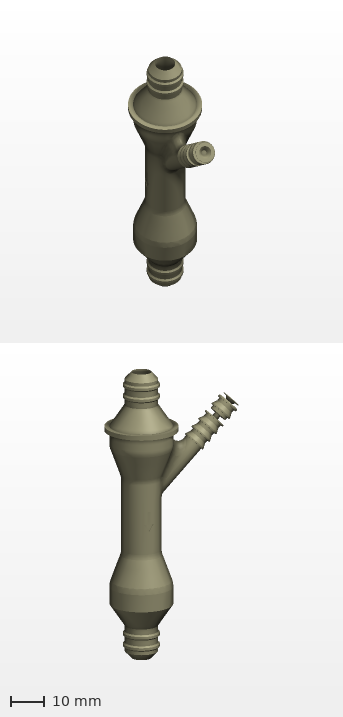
import cadquery as cq

length = 88.5
mid_height = length / 2
bore_radius = 6.0 / 2
neck_radius = 10.0 / 2
bead_radius = 11.0 / 2
tube_radius = 12.0 / 2
bulb_radius = 19.0 / 2

nose_end = 2.1
bead_starts = (3.2, 6.6)
bead_width = 1.7
bead_slope = 0.4
neck_end = 10.1
bulb_start = 16.7
bulb_end = 22.0
shoulder_end = 23.9
waist_start = 31.85
waist_end = 33.4
shoulder_radius = 9.2
waist_radius = 6.3
shoulder_bulge = 0.1
waist_bulge = 0.07

flange_radius = 22.0 / 2
flange_thickness = 1.4

arm_angle = 45.0
arm_root_height = 48.1
arm_radius = 6.0 / 2
crotch_fillet = 2.65

first_barb = 23.7
barb_pitch = 3.0
barb_radius = 7.0 / 2
barb_land = 0.4
barb_taper = 1.4
core_radius = 2.8
barbs_below_gap = 4
barbs_on_head = 2
gap_start = first_barb + (barbs_below_gap - 1) * barb_pitch + barb_land
gap_end = 34.7
stem_radius = 2.0 / 2
head_end = 39.45
tip_end = 40.7
tip_thickness = 0.2
tip_radius = 2.9
funnel_radius = 2.1
funnel_wall = 0.3

arrow_top = 46.6
arrow_shoulder = 42.7
arrow_tip = 40.4
shaft_half_width = 0.5
head_half_width = 1.5
arrow_depth = 0.2


def cylinder(radius, bottom, top):
    return cq.Workplane("XY").workplane(offset=bottom).circle(radius).extrude(top - bottom)


def cone(bottom_radius, top_radius, bottom, top):
    profile = [(0, bottom), (bottom_radius, bottom), (top_radius, top), (0, top)]
    return cq.Workplane("XZ").polyline(profile).close().revolve(360, (0, 0), (0, 1))


def arc_middle(start, end, bulge):
    """Middle point of a shallow arc, moved radially by the bulge."""
    return ((start[0] + end[0]) / 2 + bulge, (start[1] + end[1]) / 2)


def half_body():
    """Lower half of the body, from the nose to mid height."""
    outline = cq.Workplane("XZ").moveTo(0, 0).lineTo(bore_radius, 0).lineTo(neck_radius, nose_end)
    for start in bead_starts:
        end = start + bead_width
        outline = outline.lineTo(neck_radius, start).lineTo(bead_radius, start + bead_slope)
        outline = outline.lineTo(bead_radius, end - bead_slope).lineTo(neck_radius, end)
    bulb_edge = (bulb_radius, bulb_end)
    shoulder = (shoulder_radius, shoulder_end)
    waist = (waist_radius, waist_start)
    tube_edge = (tube_radius, waist_end)
    outline = (
        outline.lineTo(neck_radius, neck_end)
        .lineTo(bulb_radius, bulb_start)
        .lineTo(*bulb_edge)
        .threePointArc(arc_middle(bulb_edge, shoulder, shoulder_bulge), shoulder)
        .lineTo(*waist)
        .threePointArc(arc_middle(waist, tube_edge, -waist_bulge), tube_edge)
        .lineTo(tube_radius, mid_height)
        .lineTo(0, mid_height)
        .close()
    )
    return outline.revolve(360, (0, 0), (0, 1))


def along_arm(shape):
    """Move a shape built on the Z axis onto the axis of the side arm."""
    return shape.rotate((0, 0, 0), (0, 1, 0), arm_angle).translate((0, 0, arm_root_height))


def barb(start):
    """Ridge with a short land that tapers towards the tip of the arm."""
    land_end = start + barb_land
    ridge = cylinder(barb_radius, start, land_end)
    return ridge.union(cone(barb_radius, core_radius, land_end, land_end + barb_taper))


def hose_section(start, end, first, count):
    """Length of barbed hose; a barb that crosses either end is cut off flush."""
    section = cylinder(core_radius, start, end)
    for index in range(first, first + count):
        section = section.union(barb(first_barb + index * barb_pitch))
    return section.intersect(cylinder(barb_radius, start, end))


def hose_end():
    """Barbed end of the arm, with a thin stem joining barbs, head and flared tip."""
    shape = hose_section(first_barb, gap_start, 0, barbs_below_gap)
    shape = shape.union(cylinder(stem_radius, gap_start, gap_end))
    shape = shape.union(hose_section(gap_end, head_end, barbs_below_gap, barbs_on_head))
    shape = shape.union(cone(stem_radius, funnel_radius, head_end, tip_end))
    shape = shape.union(cylinder(tip_radius, tip_end - tip_thickness, tip_end))
    funnel = cone(stem_radius - funnel_wall, funnel_radius - funnel_wall, head_end, tip_end)
    return along_arm(shape.cut(funnel))


def arrow():
    outline = [
        (shaft_half_width, arrow_top),
        (shaft_half_width, arrow_shoulder),
        (head_half_width, arrow_shoulder),
        (0, arrow_tip),
        (-head_half_width, arrow_shoulder),
        (-shaft_half_width, arrow_shoulder),
        (-shaft_half_width, arrow_top),
    ]
    prism = cq.Workplane("XZ").polyline(outline).close().extrude(bulb_radius)
    return prism.cut(cylinder(tube_radius - arrow_depth, 0, length))


def body_with_arm():
    """Body and plain arm, with the joint between them rounded."""
    lower_half = half_body()
    upper_half = lower_half.mirror("XY", (0, 0, mid_height))
    arm = along_arm(cylinder(arm_radius, 0, first_barb))
    joined = lower_half.union(upper_half).union(arm)

    arm_face = joined.faces("%CYLINDER").faces(">X")
    joint = arm_face.edges("%BSPLINE").vals()
    return joined.newObject(joint).fillet(crotch_fillet)


flange_top = length - bulb_start
flange = cylinder(flange_radius, flange_top - flange_thickness, flange_top)
body = body_with_arm().union(flange).union(hose_end())
body = body.cut(cylinder(bore_radius, 0, length))
result = body.cut(arrow())